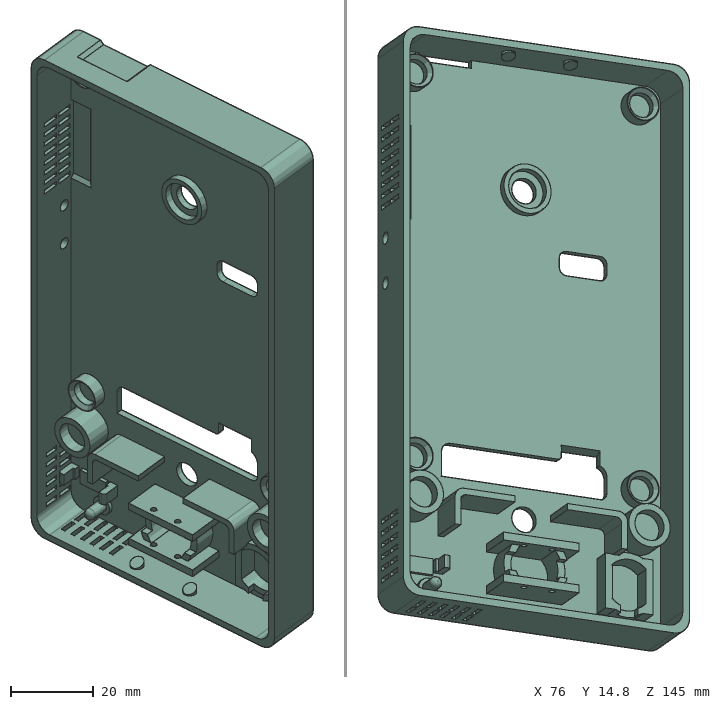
import cadquery as cq
WIDTH = 76.0
DEPTH = 14.8
HEIGHT = 145.0
WALL = 1.8
FLOOR = 1.8
OUTER_RADIUS = 4.2
INNER_RADIUS = 4.0
FLOOR_Y = DEPTH / 2 - FLOOR
INNER_LEFT = -WIDTH / 2 + WALL
INNER_TOP = HEIGHT / 2 - WALL

BEVEL = 0.95
KNOCKOUT_X = -20.7
KNOCKOUT_WIDTH = 15.6
KNOCKOUT_DEPTH = 8.8
GAP_X = -20.95
GAP_WIDTH = 13.9
GAP_HEIGHT = 2.0
POCKET_WIDTH = 6.2
POCKET_HEIGHT = 23.8
POCKET_Z = 39.9

MOUNT_HOLE = 6.45
UPPER_MOUNT_Z = 39.4
LOWER_MOUNT_Z = -44.4
SLOT_X, SLOT_Z = 15.7, 22.5
SLOT_WIDTH, SLOT_HEIGHT, SLOT_RADIUS = 12.6, 6.2, 1.9
WINDOW_LEFT, WINDOW_RIGHT = -21.9, 22.0
WINDOW_BOTTOM, WINDOW_TOP = -36.4, -27.7
WINDOW_LEFT_RADIUS = 2.4
WINDOW_UPPER_RADIUS = 2.8
WINDOW_LOWER_RADIUS = 1.8
TAB_ROOT_RADIUS = 0.8
TAB_LEFT, TAB_RIGHT, TAB_TOP = 9.9, 20.1, -24.0
TAB_BEVEL = 1.1

MOUNT_BOSS_D, MOUNT_BORE_D, MOUNT_BOSS_HEIGHT = 12.5, 10.0, 2.0
PILLAR_X = 30.0
PILLAR_ZS = (64.8, -33.0)
PILLAR_D, PILLAR_MOUTH_D, PILLAR_BORE_D = 8.5, 8.2, 6.2
PILLAR_HEIGHT, PILLAR_BORE_DEPTH = 3.5, 3.0
SOCKET_X, SOCKET_Z = 30.1, -43.7
SOCKET_D, SOCKET_BORE_D = 11.0, 7.7
SOCKET_HEIGHT, SOCKET_BORE_DEPTH = 7.0, 3.0

RIB_HEIGHT = 10.0
RIB_THICKNESS = 1.55
RIB_OUTER_X, RIB_INNER_X = 22.9, 7.0
RIB_TOP, RIB_BOTTOM = -42.4, -51.8
RIB_OUTER_RADIUS, RIB_INNER_RADIUS = 2.4, 1.5
BAR_LENGTH, BAR_THICKNESS, BAR_SPACING = 20.0, 2.0, 10.65
BAR_HOLE_D, BAR_HOLE_X, BAR_HOLE_Y = 1.5, 3.75, -2.5

HOLDER_Z = -58.4
HOLDER_D, HOLDER_BORE_D, HOLDER_HEIGHT = 16.2, 12.5, 8.0
HOLDER_NOTCH, HOLDER_NOTCH_DEPTH = 4.6, 2.0
BOX_X, BOX_Z = 25.65, -58.7
BOX_WIDTH, BOX_HEIGHT, BOX_DEPTH = 12.6, 14.0, 5.0
BOX_OPENING = 9.0
BOX_RING_D = 15.8

CLIP_X, CLIP_TOP = -28.9, -58.2
CLIP_SPAN, CLIP_HEIGHT, CLIP_REACH = 14.5, 3.2, 5.0
CLIP_ARM, CLIP_TIP_RADIUS, CLIP_FOOT, CLIP_FOOT_REACH = 1.8, 0.9, 2.4, 1.5
CLIP_SEAT_X, CLIP_SEAT_WIDTH, CLIP_SEAT_HEIGHT, CLIP_SEAT_REACH = -28.6, 8.0, 4.1, 1.0
PIN_X, PIN_Z = -25.9, -65.8
PIN_BASE_D, PIN_BASE_HEIGHT, PIN_D, PIN_HEIGHT = 5.0, 1.0, 3.0, 6.6
PIN_TIP_RADIUS = PIN_D / 2 - 0.1

CATCH_D, CATCH_X, CATCH_Y = 3.4, 8.25, -3.4
CATCH_LOW, CATCH_HIGH = 0.3, 1.6

UPPER_VENT_PITCH, LOWER_VENT_PITCH, VENT_WIDTH = 2.9, 3.0, 1.1
LOWER_VENT_ROWS = ((1.3, 5.2), (-3.8, 0.1))
UPPER_VENT_ROWS = ((1.0, 5.2), (-4.5, 0.1))
VENT_INSET = 7.0
UPPER_VENT_BOTTOM, UPPER_VENT_COUNT, LOWER_VENT_COUNT = 29.6, 8, 6
SIDE_HOLE_D, SIDE_HOLE_Y, SIDE_HOLE_ZS = 3.0, 3.0, (21.2, 9.7)


def plane(y):
    """Sketch plane facing -Y: local x is X, local y is Z."""
    return cq.Workplane("XZ", origin=(0, y, 0))


def box(x_range, y_range, z_range):
    size = [high - low for low, high in (x_range, y_range, z_range)]
    centre = [(high + low) / 2 for low, high in (x_range, y_range, z_range)]
    return cq.Workplane("XY").box(*size).translate(tuple(centre))


def post(x, z, diameter, height):
    return plane(FLOOR_Y).center(x, z).circle(diameter / 2).extrude(height)


def tray():
    body = plane(DEPTH / 2).rect(WIDTH, HEIGHT).extrude(DEPTH).edges("|Y").fillet(OUTER_RADIUS)
    cavity = plane(FLOOR_Y).rect(WIDTH - 2 * WALL, HEIGHT - 2 * WALL).extrude(DEPTH)
    return body.cut(cavity.edges("|Y").fillet(INNER_RADIUS))


def knockout():
    """Bevelled recess in the top wall, open at the back, plus the floor gap behind it."""
    front = DEPTH / 2 - KNOCKOUT_DEPTH
    half = KNOCKOUT_WIDTH / 2
    panel_half = half - BEVEL
    back = DEPTH / 2

    def outline(z, half_width, front_y):
        corners = [(-half_width, front_y), (half_width, front_y), (half_width, back), (-half_width, back)]
        return cq.Wire.makePolygon([cq.Vector(KNOCKOUT_X + x, y, z) for x, y in corners], close=True)

    recess = cq.Solid.makeLoft(
        [outline(HEIGHT / 2, half, front), outline(HEIGHT / 2 - BEVEL, panel_half, front + BEVEL)], True
    )
    gap = box(
        (GAP_X - GAP_WIDTH / 2, GAP_X + GAP_WIDTH / 2),
        (FLOOR_Y, back),
        (INNER_TOP - GAP_HEIGHT, INNER_TOP),
    )
    return cq.Workplane(obj=recess).union(gap)


def floor_pocket():
    """Bevelled recess in the floor against the left wall."""

    def outline(y, inset):
        right = INNER_LEFT + POCKET_WIDTH - inset
        half = POCKET_HEIGHT / 2 - inset
        corners = [(INNER_LEFT, -half), (right, -half), (right, half), (INNER_LEFT, half)]
        return cq.Wire.makePolygon([cq.Vector(x, y, POCKET_Z + z) for x, z in corners], close=True)

    return cq.Workplane(obj=cq.Solid.makeLoft([outline(FLOOR_Y, 0), outline(FLOOR_Y + BEVEL, BEVEL)], True))


def floor_window():
    """Wide opening with a tab on its upper edge; the top of the tab is bevelled."""
    main = box((WINDOW_LEFT, WINDOW_RIGHT), (FLOOR_Y, DEPTH / 2), (WINDOW_BOTTOM, WINDOW_TOP))
    main = main.edges("|Y and <X and >Z").fillet(WINDOW_LEFT_RADIUS)
    main = main.edges("|Y and >X and >Z").fillet(WINDOW_UPPER_RADIUS)
    main = main.edges("|Y and >X and <Z").fillet(WINDOW_LOWER_RADIUS)
    tab = (
        cq.Workplane("YZ", origin=(TAB_LEFT, 0, 0))
        .moveTo(FLOOR_Y, WINDOW_BOTTOM)
        .lineTo(DEPTH / 2, WINDOW_BOTTOM)
        .lineTo(DEPTH / 2, TAB_TOP - TAB_BEVEL)
        .lineTo(FLOOR_Y, TAB_TOP)
        .close()
        .extrude(TAB_RIGHT - TAB_LEFT)
    )
    tab_root = (TAB_LEFT, DEPTH / 2 - FLOOR / 2, WINDOW_TOP)
    opening = main.union(tab)
    return opening.edges(cq.selectors.NearestToPointSelector(tab_root)).fillet(TAB_ROOT_RADIUS)


def floor_openings():
    slot = plane(DEPTH / 2).center(SLOT_X, SLOT_Z).rect(SLOT_WIDTH, SLOT_HEIGHT).extrude(FLOOR)
    holes = plane(DEPTH / 2).pushPoints([(0, UPPER_MOUNT_Z), (0, LOWER_MOUNT_Z)])
    holes = holes.circle(MOUNT_HOLE / 2).extrude(FLOOR)
    return slot.edges("|Y").fillet(SLOT_RADIUS).union(holes).union(floor_window())


def tube(x, z, diameter, bore, height, bore_depth):
    hole = plane(FLOOR_Y - height + bore_depth).center(x, z).circle(bore / 2).extrude(bore_depth)
    return post(x, z, diameter, height).cut(hole)


def pillar(x, z):
    """Short boss with a blind bore and a 45 degree countersink."""
    boss = tube(x, z, PILLAR_D, PILLAR_BORE_D, PILLAR_HEIGHT, PILLAR_BORE_DEPTH)
    sink_depth = (PILLAR_MOUTH_D - PILLAR_BORE_D) / 2
    bottom = plane(FLOOR_Y - PILLAR_HEIGHT + sink_depth).center(x, z).circle(PILLAR_BORE_D / 2)
    return boss.cut(bottom.workplane(offset=sink_depth).circle(PILLAR_MOUTH_D / 2).loft())


def corner_rib(side):
    path_width = RIB_OUTER_X - RIB_INNER_X
    rib = box(
        (RIB_INNER_X, RIB_OUTER_X), (FLOOR_Y - RIB_HEIGHT, FLOOR_Y), (RIB_BOTTOM, RIB_TOP)
    ).edges("|Y and >X and >Z").fillet(RIB_OUTER_RADIUS)
    hollow = box(
        (RIB_INNER_X, RIB_INNER_X + path_width - RIB_THICKNESS),
        (FLOOR_Y - RIB_HEIGHT, FLOOR_Y),
        (RIB_BOTTOM, RIB_TOP - RIB_THICKNESS),
    ).edges("|Y and >X and >Z").fillet(RIB_INNER_RADIUS)
    rib = rib.cut(hollow)
    return rib if side > 0 else rib.mirror("YZ")


def bar_holder():
    """Ring between two drilled bars, notched at its left and right."""
    inside = BAR_SPACING - BAR_THICKNESS
    ring = tube(0, HOLDER_Z, HOLDER_D, HOLDER_BORE_D, HOLDER_HEIGHT, HOLDER_HEIGHT)
    ring = ring.intersect(plane(FLOOR_Y).center(0, HOLDER_Z).rect(HOLDER_D, inside).extrude(HOLDER_HEIGHT))
    notch = plane(FLOOR_Y - HOLDER_HEIGHT + HOLDER_NOTCH_DEPTH).center(0, HOLDER_Z)
    holder = ring.cut(notch.rect(HOLDER_D, HOLDER_NOTCH).extrude(HOLDER_NOTCH_DEPTH))
    for side in (-1, 1):
        bar = plane(FLOOR_Y).center(0, HOLDER_Z + side * BAR_SPACING / 2)
        holder = holder.union(bar.rect(BAR_LENGTH, BAR_THICKNESS).extrude(RIB_HEIGHT))
    drill = cq.Workplane("XY", origin=(0, 0, HOLDER_Z)).pushPoints(
        [(-BAR_HOLE_X, BAR_HOLE_Y), (BAR_HOLE_X, BAR_HOLE_Y)]
    )
    return holder.cut(drill.circle(BAR_HOLE_D / 2).extrude(BAR_SPACING, both=True))


def box_holder():
    """Rectangular block and ring sharing one flat-sided bore, notched at the bottom."""
    middle = plane(FLOOR_Y).center(BOX_X, BOX_Z).rect(BOX_OPENING, BOX_RING_D).extrude(BOX_DEPTH)
    ring = post(BOX_X, BOX_Z, BOX_RING_D, BOX_DEPTH).intersect(middle)
    bore = post(BOX_X, BOX_Z, HOLDER_BORE_D, BOX_DEPTH).intersect(middle)
    block = plane(FLOOR_Y).center(BOX_X, BOX_Z).rect(BOX_WIDTH, BOX_HEIGHT).extrude(BOX_DEPTH)
    x_range = (BOX_X - HOLDER_NOTCH / 2, BOX_X + HOLDER_NOTCH / 2)
    front = FLOOR_Y - BOX_DEPTH
    y_range = (front, front + HOLDER_NOTCH_DEPTH)
    notch = box(x_range, y_range, (BOX_Z - BOX_RING_D / 2, BOX_Z))
    return block.union(ring).cut(bore).cut(notch)


def clip():
    """Two upright arms on wide feet with a low seat between them."""
    z_range = (CLIP_TOP - CLIP_HEIGHT, CLIP_TOP)
    half = CLIP_SPAN / 2
    seat = box(
        (CLIP_SEAT_X - CLIP_SEAT_WIDTH / 2, CLIP_SEAT_X + CLIP_SEAT_WIDTH / 2),
        (FLOOR_Y - CLIP_SEAT_REACH, FLOOR_Y),
        (CLIP_TOP - CLIP_SEAT_HEIGHT, CLIP_TOP),
    )
    arm = box((half - CLIP_ARM, half), (FLOOR_Y - CLIP_REACH, FLOOR_Y), z_range)
    arm = arm.edges("|Z and >X and <Y").fillet(CLIP_TIP_RADIUS)
    foot = box((half - CLIP_FOOT, half), (FLOOR_Y - CLIP_FOOT_REACH, FLOOR_Y), z_range)
    upright = arm.union(foot)
    left = upright.mirror("YZ").translate((CLIP_X, 0, 0))
    return seat.union(upright.translate((CLIP_X, 0, 0))).union(left)


def pin():
    shaft = post(PIN_X, PIN_Z, PIN_D, PIN_HEIGHT).faces("<Y").edges().fillet(PIN_TIP_RADIUS)
    return post(PIN_X, PIN_Z, PIN_BASE_D, PIN_BASE_HEIGHT).union(shaft)


def catches():
    """Round pads whose tops slope down towards the open side."""
    wedge = (
        cq.Workplane("YZ", origin=(-WIDTH / 2, 0, 0))
        .moveTo(CATCH_Y - CATCH_D / 2, INNER_TOP)
        .lineTo(CATCH_Y + CATCH_D / 2, INNER_TOP)
        .lineTo(CATCH_Y + CATCH_D / 2, INNER_TOP - CATCH_HIGH)
        .lineTo(CATCH_Y - CATCH_D / 2, INNER_TOP - CATCH_LOW)
        .close()
        .extrude(WIDTH)
    )
    pads = cq.Workplane("XY", origin=(0, 0, INNER_TOP - CATCH_HIGH))
    pads = pads.pushPoints([(-CATCH_X, CATCH_Y), (CATCH_X, CATCH_Y)])
    pads = pads.circle(CATCH_D / 2).extrude(CATCH_HIGH).intersect(wedge)
    return pads.union(pads.mirror("XY"))


def left_wall_vent(z, rows):
    x_range = (-WIDTH / 2, INNER_LEFT)
    z_range = (z - VENT_WIDTH / 2, z + VENT_WIDTH / 2)
    return [box(x_range, row, z_range) for row in rows]


def vents():
    """Slots high and low in the left wall, and in the bottom wall near the left corner."""
    cuts = []
    for index in range(UPPER_VENT_COUNT):
        cuts += left_wall_vent(UPPER_VENT_BOTTOM + index * UPPER_VENT_PITCH, UPPER_VENT_ROWS)
    for index in range(LOWER_VENT_COUNT):
        along = VENT_INSET + index * LOWER_VENT_PITCH
        cuts += left_wall_vent(-HEIGHT / 2 + along, LOWER_VENT_ROWS)
        x = -WIDTH / 2 + along
        x_range = (x - VENT_WIDTH / 2, x + VENT_WIDTH / 2)
        cuts += [box(x_range, row, (-HEIGHT / 2, -INNER_TOP)) for row in LOWER_VENT_ROWS]
    return cuts


def side_holes():
    points = [(SIDE_HOLE_Y, z) for z in SIDE_HOLE_ZS]
    holes = cq.Workplane("YZ", origin=(-WIDTH / 2, 0, 0)).pushPoints(points)
    return holes.circle(SIDE_HOLE_D / 2).extrude(WALL)


result = tray()
features = [
    tube(0, UPPER_MOUNT_Z, MOUNT_BOSS_D, MOUNT_BORE_D, MOUNT_BOSS_HEIGHT, MOUNT_BOSS_HEIGHT),
    bar_holder(),
    box_holder(),
    clip(),
    pin(),
    catches(),
]
for side in (-1, 1):
    features.append(corner_rib(side))
    socket_x = side * SOCKET_X
    features.append(tube(socket_x, SOCKET_Z, SOCKET_D, SOCKET_BORE_D, SOCKET_HEIGHT, SOCKET_BORE_DEPTH))
    features += [pillar(side * PILLAR_X, z) for z in PILLAR_ZS]
for feature in features:
    result = result.union(feature)
for opening in [knockout(), floor_pocket(), floor_openings(), side_holes()] + vents():
    result = result.cut(opening)